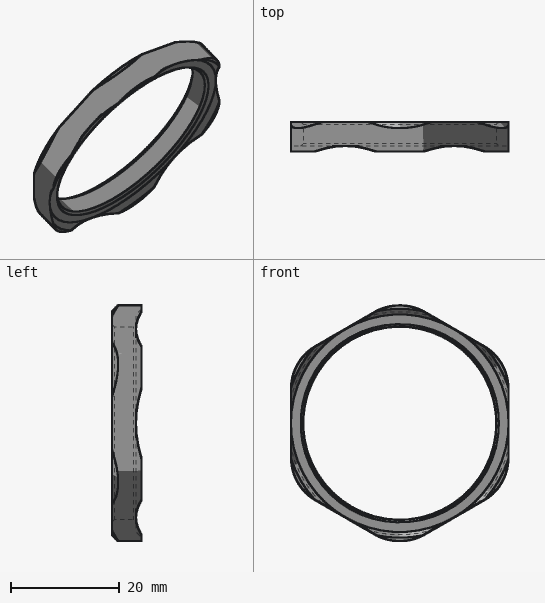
import cadquery as cq
import math

across_flats = 40.0
across_lobes = 43.4
thickness = 5.5
bore_diameter = 35.5
bore_chamfer = 0.48
recess_depth = 1.05
back_chamfer = 1.17

lobe_reach = across_lobes / 2
bore_radius = bore_diameter / 2
front_y = -thickness / 2
back_y = thickness / 2
floor_y = front_y + recess_depth
floor_radius = across_flats / 2

corner_factor = 1 / math.cos(math.radians(30))
corner_reach = across_flats / 2 * corner_factor
lobe_radius = (corner_reach - lobe_reach) / (corner_factor - 1)


def revolve_about_y(profile):
    """Revolve a closed (radius, y) profile about the Y axis."""
    return cq.Workplane("XY").polyline(profile).close().revolve(360, (0, 0, 0), (0, 1, 0))


def hexagon_blank():
    """Hexagon with rounded corners pointing along +Z and -Z."""
    return (
        cq.Workplane("XZ", origin=(0, back_y, 0))
        .transformed(rotate=(0, 0, 90))
        .polygon(6, 2 * corner_reach)
        .extrude(thickness)
        .edges("|Y")
        .fillet(lobe_radius)
    )


turned_ring = revolve_about_y([
    (bore_radius, back_y - bore_chamfer),
    (bore_radius + bore_chamfer, back_y),
    (lobe_reach - back_chamfer, back_y),
    (lobe_reach, back_y - back_chamfer),
    (lobe_reach, front_y),
    (floor_radius + recess_depth, front_y),
    (floor_radius, floor_y),
    (bore_radius + bore_chamfer, floor_y),
    (bore_radius, floor_y + bore_chamfer),
])

result = hexagon_blank().intersect(turned_ring)